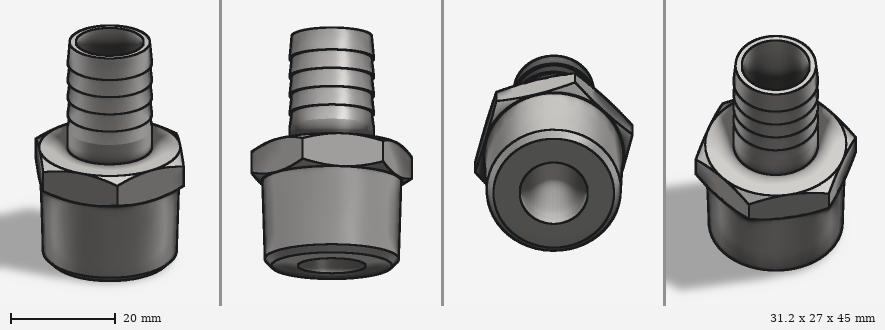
import cadquery as cq
import math

total_height = 45.0
bore_diameter = 13.0

spigot_height = 16.5
spigot_top_diameter = 26.65
spigot_taper = 1 / 16
spigot_chamfer = 1.3

hex_across_flats = 27.0
hex_height = 6.45
hex_chamfer_angle = 30.0

barb_crest_diameter = 16.2
barb_root_diameter = 15.4
neck_height = 4.0
first_barb_height = 2.9
barb_pitch = 3.6
middle_barb_count = 3

hex_top = spigot_height + hex_height
neck_top = hex_top + neck_height
hex_across_corners = hex_across_flats / math.cos(math.radians(30))


def make_spigot():
    """Tapered spigot with a chamfer at its lower end."""
    top_radius = spigot_top_diameter / 2
    rim_radius = top_radius - (spigot_height - spigot_chamfer) * spigot_taper / 2
    return (
        cq.Workplane("XZ")
        .lineTo(rim_radius - spigot_chamfer, 0)
        .lineTo(rim_radius, spigot_chamfer)
        .lineTo(top_radius, spigot_height)
        .lineTo(0, spigot_height)
        .close()
        .revolve(360, (0, 0), (0, 1))
    )


def make_hexagon():
    """Hexagon whose corners are trimmed by a cone at both ends."""
    prism = (
        cq.Workplane("XY", origin=(0, 0, spigot_height))
        .polygon(6, hex_across_corners)
        .extrude(hex_height)
    )
    flat_radius = hex_across_flats / 2
    corner_radius = hex_across_corners / 2
    corner_drop = (corner_radius - flat_radius) * math.tan(math.radians(hex_chamfer_angle))
    trimming_body = (
        cq.Workplane("XZ")
        .moveTo(0, spigot_height)
        .lineTo(flat_radius, spigot_height)
        .lineTo(corner_radius, spigot_height + corner_drop)
        .lineTo(corner_radius, hex_top - corner_drop)
        .lineTo(flat_radius, hex_top)
        .lineTo(0, hex_top)
        .close()
        .revolve(360, (0, 0), (0, 1))
    )
    return prism.intersect(trimming_body)


def make_hose_tail():
    """Plain neck at the crest diameter, followed by barbs that narrow towards the open end."""
    crest_radius = barb_crest_diameter / 2
    root_radius = barb_root_diameter / 2
    barb_tops = [neck_top + first_barb_height + i * barb_pitch for i in range(middle_barb_count + 1)]
    barb_tops.append(total_height)

    profile = cq.Workplane("XZ").moveTo(0, hex_top).lineTo(crest_radius, hex_top)
    barb_bottom = neck_top
    for barb_top in barb_tops:
        profile = profile.lineTo(crest_radius, barb_bottom).lineTo(root_radius, barb_top)
        barb_bottom = barb_top
    return profile.lineTo(0, total_height).close().revolve(360, (0, 0), (0, 1))


bore = cq.Workplane("XY").circle(bore_diameter / 2).extrude(total_height)

result = make_spigot().union(make_hexagon()).union(make_hose_tail()).cut(bore)